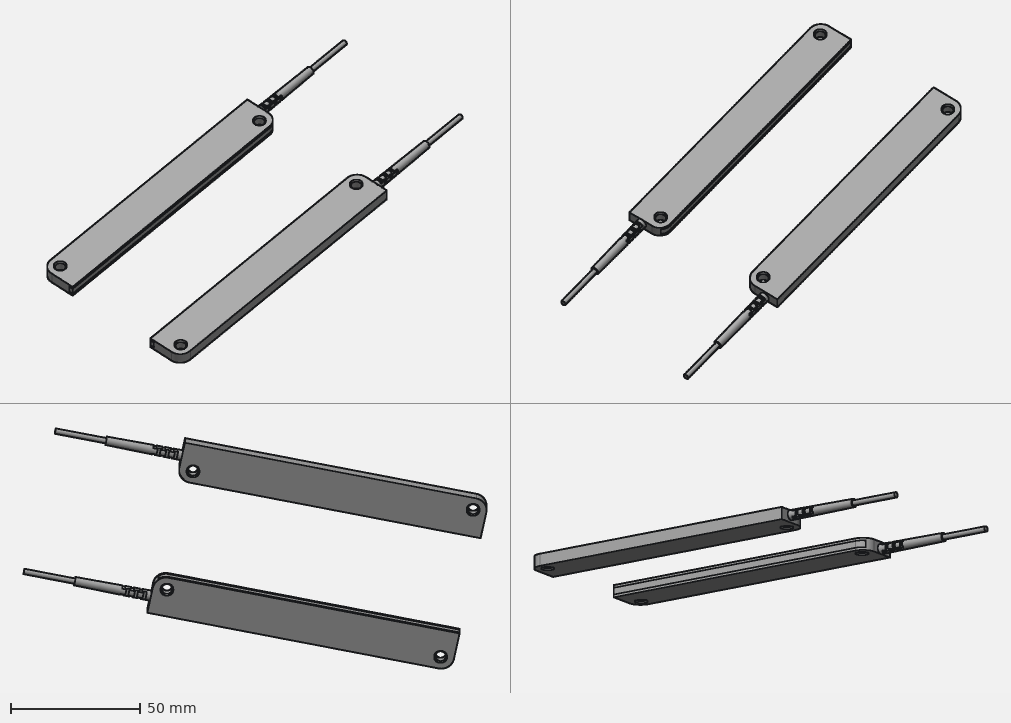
import cadquery as cq

OVERALL_WIDTH = 72.0
OVERALL_LENGTH = 170.0
OVERALL_HEIGHT = 6.0
UNIT_TURNS = (0, 180)

BAR_WIDTH = 16.0
BAR_LENGTH = 120.0
BAR_HEIGHT = 5.0
CORNER_RADIUS = 5.1
BAR_LEFT = -OVERALL_WIDTH / 2
BAR_RIGHT = BAR_LEFT + BAR_WIDTH
BAR_TOP = OVERALL_HEIGHT / 2
BAR_BOTTOM = BAR_TOP - BAR_HEIGHT
BAR_MIDDLE = (BAR_TOP + BAR_BOTTOM) / 2

HOLE_SIDE_INSET = 5.0
HOLE_FRONT_INSET = 5.3
HOLE_REAR_INSET = 5.5
HOLE_DIAMETER = 4.0
COUNTERSINK_DIAMETER = 5.1
COUNTERSINK_DEPTH = 0.7

WINDOW_DEPTH = 1.7
WINDOW_HEIGHT = 2.7

CABLE_FROM_LEFT = 6.1
CABLE_X = BAR_LEFT + CABLE_FROM_LEFT
CABLE_DIAMETER = 2.2
CABLE_LENGTH = OVERALL_LENGTH - BAR_LENGTH
RELIEF_LENGTH = 30.0
RELIEF_BASE_DIAMETER = 4.0
RELIEF_TIP_DIAMETER = 3.4

SLOT_COUNT = 6
SLOT_PITCH = 1.7
SLOT_WIDTH = 1.2
FIRST_SLOT = 2.4
SLOT_CORE = 2.4


def block(x_min, x_max, y_min, y_max, z_min, z_max):
    """Axis-aligned block between the given limits."""
    size = (x_max - x_min, y_max - y_min, z_max - z_min)
    return cq.Workplane("XY").box(*size, centered=False).translate((x_min, y_min, z_min))


def make_envelope():
    """Outline of the bar, with two opposite corners rounded, at its full height."""
    bar = block(BAR_LEFT, BAR_RIGHT, 0, BAR_LENGTH, BAR_BOTTOM, BAR_TOP)
    for corner in ("<X and <Y", ">X and >Y"):
        bar = bar.edges("|Z").edges(corner).fillet(CORNER_RADIUS)
    return bar


def make_window():
    """Strip along the whole inner side of the bar, following its rounded corner."""
    half_height = WINDOW_HEIGHT / 2
    strip = block(
        BAR_RIGHT - WINDOW_DEPTH, BAR_RIGHT,
        0, BAR_LENGTH,
        BAR_MIDDLE - half_height, BAR_MIDDLE + half_height,
    )
    return strip.intersect(make_envelope())


def make_housing():
    """Bar with two countersunk holes and the groove that holds the window."""
    hole_centres = [
        (BAR_LEFT + HOLE_SIDE_INSET, HOLE_FRONT_INSET),
        (BAR_RIGHT - HOLE_SIDE_INSET, BAR_LENGTH - HOLE_REAR_INSET),
    ]
    housing = make_envelope()
    for x, y in hole_centres:
        housing = housing.cut(make_hole_cutter().translate((x, y, BAR_MIDDLE)))
    return housing.cut(make_window())


def make_hole_cutter():
    """Through hole, countersunk at both ends, centred on the origin."""
    half_height = BAR_HEIGHT / 2
    hole_radius = HOLE_DIAMETER / 2
    sink_radius = COUNTERSINK_DIAMETER / 2
    straight_end = half_height - COUNTERSINK_DEPTH
    profile = [
        (0, -half_height),
        (sink_radius, -half_height),
        (hole_radius, -straight_end),
        (hole_radius, straight_end),
        (sink_radius, half_height),
        (0, half_height),
    ]
    return cq.Workplane("XZ").polyline(profile).close().revolve(360, (0, 0), (0, 1))


def make_cable():
    """Cable and its tapered, slotted bend relief, extending from the rear end of the bar."""
    relief_base = RELIEF_BASE_DIAMETER / 2
    relief_tip = RELIEF_TIP_DIAMETER / 2
    cable_radius = CABLE_DIAMETER / 2
    profile = [
        (0, 0),
        (relief_base, 0),
        (relief_tip, RELIEF_LENGTH),
        (cable_radius, RELIEF_LENGTH),
        (cable_radius, CABLE_LENGTH),
        (0, CABLE_LENGTH),
    ]
    cable = cq.Workplane("XY").polyline(profile).close().revolve(360, (0, 0), (0, 1))

    reach = RELIEF_BASE_DIAMETER
    core = SLOT_CORE / 2
    for index in range(SLOT_COUNT):
        y_min = FIRST_SLOT + index * SLOT_PITCH - SLOT_WIDTH / 2
        slot = block(-reach, reach, y_min, y_min + SLOT_WIDTH, core, reach)
        first_angle = 90 * (index % 2)
        for angle in (first_angle, first_angle + 180):
            cable = cable.cut(slot.rotate((0, 0, 0), (0, 1, 0), angle))
    return cable.translate((CABLE_X, BAR_LENGTH, 0))


bodies = []
for turn in UNIT_TURNS:
    for make_body in (make_housing, make_window, make_cable):
        body = make_body().rotate((0, 0, 0), (0, 1, 0), turn)
        bodies.append(body.val())

result = cq.Compound.makeCompound(bodies)